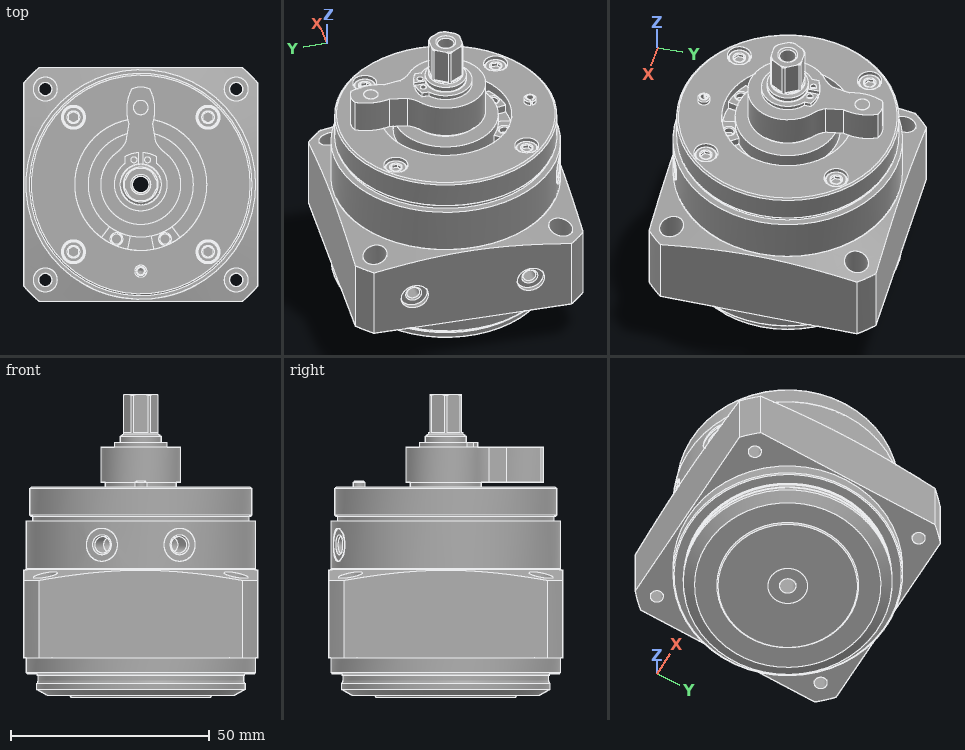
import cadquery as cq
import math

FOOT_TOP = 0.45
BEVEL_TOP = 2.05
RIM_TOP = 3.6
GROOVE_BOTTOM = 4.3
GROOVE_TOP = 5.5
LOWER_COLLAR_BOTTOM = 5.95
BLOCK_BOTTOM = 10.0
BLOCK_TOP = 32.2
BARREL_TOP = 44.5
COVER_BOTTOM = 45.6
COVER_TOP = 53.0
LEVER_BOTTOM = 54.2
LEVER_TOP = 63.0
RING_TOP = 64.25
SHAFT_SHOULDER = 65.8
HEX_BOTTOM = 66.8
SHAFT_TOP = 76.3

FOOT_D = 35.1
FOOT_TOP_D = 35.7
BEVEL_END_D = 46.9
RIM_D = 52.65
SPIGOT_D = 52.3
GROOVE_D = 51.9
BARREL_D = 57.8
COVER_NECK_D = 54.55
COVER_D = 56.0
EDGE_CHAMFER = 0.3
COVER_CHAMFER = 0.45
BLOCK_SIDE = 59.0
BLOCK_CORNER_D = 78.05
TOP_SLOPE = 15.0

MOUNT_PITCH = 48.1
MOUNT_D = 3.3
MOUNT_BORE_D = 6.0
MOUNT_BORE_FLOOR = 21.4

SCREW_PITCH = 33.9
SCREW_BORE_D = 6.0
SCREW_BORE_DEPTH = 2.3
SCREW_HEAD_D = 5.5
SCREW_HEAD_RECESS = 0.8
SCREW_CHAMFER = 0.2
SOCKET_MOUTH_D = 3.2
SOCKET_FLATS = 2.5
SOCKET_MOUTH_DEPTH = 0.2
SOCKET_DEPTH = 1.15

RECESS_D = 33.3
RECESS_FLOOR = 48.15
STOP_TOP = 50.35
STOP_ANGLE = 24.0
STOP_SPAN = 25.0
STOP_HOLE_MOUTH_D = 3.2
STOP_HOLE_D = 2.6
STOP_HOLE_DEPTH = 1.9
STOP_HOLE_RADIUS = 15.0

PIN_Y = -21.8
PIN_D = 3.05
PIN_HEIGHT = 1.45
PIN_CHAMFER = 0.4
PIN_SLOT = 0.45
PIN_BORE_D = 1.8
PIN_BORE_DEPTH = 0.8

BARREL_PORT_ANGLE = 20.0
BARREL_PORT_Z = 38.45
BARREL_PORT_FACE_D = 8.3
BARREL_PORT_FACE_RADIUS = 28.5
BARREL_PORT_MOUTH_D = 5.0
BARREL_PORT_D = 4.1
SIDE_PORT_PITCH = 30.1
SIDE_PORT_Z = 19.9
SIDE_PORT_FACE_D = 7.0
SIDE_PORT_FACE_DEPTH = 1.2
SIDE_PORT_MOUTH_D = 4.1
SIDE_PORT_D = 3.3
PORT_DEPTH = 6.9
DRILL_POINT_ANGLE = 118.0

SHAFT_D = 10.0
SHOULDER_D = 10.4
SHAFT_NECK_D = 17.9
DISC_D = 26.5
HEX_FLATS = 7.9
HEX_CORNER_D = 8.8
HEX_CHAMFER = 0.2
SHAFT_HOLE_D = 4.1
SHAFT_HOLE_MOUTH_D = 5.0
SHOULDER_CONE_HEIGHT = 0.5

HUB_D = 20.15
TIP_Y = 24.6
TIP_CORNER = (2.3, 24.0)
ARM_WIDEST = (3.5, 19.4)
WAIST = (3.0, 15.25)
ARM_ROOT = (3.75, 10.8)
ROOT_BEND = (4.6, 9.45)
HUB_BLEND_ANGLE = 54.0
LEVER_MARK_D = 3.7
LEVER_MARK_DEPTH = 0.1

RING_D = 13.3
LUG_RADIUS = 8.1
LUG_HALF_WIDTH = 4.0
LUG_GAP = 1.1
LUG_HOLE_D = 1.5
LUG_HOLE_X = 1.72
LUG_HOLE_Y = 6.22


def cylinder(diameter, bottom, top):
    return cq.Workplane("XY").workplane(offset=bottom).circle(diameter / 2).extrude(top - bottom)


def hex_prism(flats, bottom, top):
    """Hexagon with two corners on the X axis."""
    corners = flats / math.cos(math.pi / 6)
    return cq.Workplane("XY").workplane(offset=bottom).polygon(6, corners).extrude(top - bottom)


def revolve_profile(points):
    """Turn a closed outline of (radius, z) points about the Z axis."""
    return cq.Workplane("XZ").polyline(points).close().revolve(360, (0, 0, 0), (0, 1, 0))


def square_pattern(pitch):
    half = pitch / 2
    return [(x, y) for x in (-half, half) for y in (-half, half)]


def at_polar(radius, angle):
    """Point at an angle in degrees, measured from -Y toward +X."""
    turn = math.radians(angle)
    return radius * math.sin(turn), -radius * math.cos(turn)


def drill_point_height(diameter):
    return diameter / 2 / math.tan(math.radians(DRILL_POINT_ANGLE / 2))


def make_turned_body():
    return revolve_profile([
        (0, 0),
        (FOOT_D / 2, 0),
        (FOOT_TOP_D / 2, FOOT_TOP),
        (BEVEL_END_D / 2, FOOT_TOP),
        (RIM_D / 2, BEVEL_TOP),
        (RIM_D / 2, RIM_TOP),
        (SPIGOT_D / 2, RIM_TOP),
        (GROOVE_D / 2, GROOVE_BOTTOM),
        (GROOVE_D / 2, GROOVE_TOP),
        (SPIGOT_D / 2, GROOVE_TOP),
        (SPIGOT_D / 2, LOWER_COLLAR_BOTTOM),
        (BARREL_D / 2 - EDGE_CHAMFER, LOWER_COLLAR_BOTTOM),
        (BARREL_D / 2, LOWER_COLLAR_BOTTOM + EDGE_CHAMFER),
        (BARREL_D / 2, BLOCK_BOTTOM),
        (BARREL_D / 2 - EDGE_CHAMFER, BLOCK_TOP),
        (BARREL_D / 2, BLOCK_TOP + EDGE_CHAMFER),
        (BARREL_D / 2, BARREL_TOP),
        (COVER_NECK_D / 2, BARREL_TOP),
        (COVER_NECK_D / 2, COVER_BOTTOM),
        (COVER_D / 2 - EDGE_CHAMFER, COVER_BOTTOM),
        (COVER_D / 2, COVER_BOTTOM + EDGE_CHAMFER),
        (COVER_D / 2, COVER_TOP - COVER_CHAMFER),
        (COVER_D / 2 - COVER_CHAMFER, COVER_TOP),
        (0, COVER_TOP),
    ])


def make_block():
    """Square block with rounded corners and a conical top."""
    block = cq.Workplane("XY").workplane(offset=BLOCK_BOTTOM).rect(BLOCK_SIDE, BLOCK_SIDE).extrude(
        BLOCK_TOP - BLOCK_BOTTOM)
    drop = (BLOCK_CORNER_D - BARREL_D) / 2 * math.tan(math.radians(TOP_SLOPE))
    envelope = revolve_profile([
        (0, BLOCK_BOTTOM),
        (BLOCK_CORNER_D / 2, BLOCK_BOTTOM),
        (BLOCK_CORNER_D / 2, BLOCK_TOP - drop),
        (BARREL_D / 2, BLOCK_TOP),
        (0, BLOCK_TOP),
    ])
    return block.intersect(envelope)


def make_mount_holes():
    places = square_pattern(MOUNT_PITCH)
    holes = cq.Workplane("XY").workplane(offset=BLOCK_BOTTOM).pushPoints(places).circle(
        MOUNT_D / 2).extrude(BLOCK_TOP - BLOCK_BOTTOM)
    bores = cq.Workplane("XY").workplane(offset=MOUNT_BORE_FLOOR).pushPoints(places).circle(
        MOUNT_BORE_D / 2).extrude(BLOCK_TOP - MOUNT_BORE_FLOOR)
    return holes.union(bores)


def make_cover_screw_cut():
    """Space around and above one sunk screw head, with its socket."""
    head_top = COVER_TOP - SCREW_HEAD_RECESS
    head = cylinder(SCREW_HEAD_D, COVER_TOP - SCREW_BORE_DEPTH, head_top).faces(">Z").chamfer(SCREW_CHAMFER)
    mouth = revolve_profile([
        (0, head_top),
        (SOCKET_MOUTH_D / 2, head_top),
        (SOCKET_FLATS / 2, head_top - SOCKET_MOUTH_DEPTH),
        (0, head_top - SOCKET_MOUTH_DEPTH),
    ])
    socket = hex_prism(SOCKET_FLATS, head_top - SOCKET_DEPTH, head_top)
    socket = socket.rotate((0, 0, 0), (0, 0, 1), 90).union(mouth)
    bore = cylinder(SCREW_BORE_D, COVER_TOP - SCREW_BORE_DEPTH, COVER_TOP)
    return bore.cut(head.cut(socket))


def make_stop(angle):
    """Raised sector in the annular recess, with a countersunk blind hole."""
    inner = DISC_D / 2
    outer = RECESS_D / 2
    start = angle - STOP_SPAN / 2
    end = angle + STOP_SPAN / 2
    sector = (
        cq.Workplane("XY").workplane(offset=RECESS_FLOOR)
        .moveTo(*at_polar(inner, start))
        .lineTo(*at_polar(outer, start))
        .threePointArc(at_polar(outer, angle), at_polar(outer, end))
        .lineTo(*at_polar(inner, end))
        .threePointArc(at_polar(inner, angle), at_polar(inner, start))
        .close().extrude(STOP_TOP - RECESS_FLOOR)
    )
    mouth_depth = (STOP_HOLE_MOUTH_D - STOP_HOLE_D) / 2
    hole = revolve_profile([
        (0, STOP_TOP),
        (STOP_HOLE_MOUTH_D / 2, STOP_TOP),
        (STOP_HOLE_D / 2, STOP_TOP - mouth_depth),
        (STOP_HOLE_D / 2, STOP_TOP - STOP_HOLE_DEPTH),
        (0, STOP_TOP - STOP_HOLE_DEPTH),
    ])
    x, y = at_polar(STOP_HOLE_RADIUS, angle)
    return sector.cut(hole.translate((x, y, 0)))


def make_spring_pin():
    """Slotted tubular pin end standing on the cover, its slot toward -X."""
    top = COVER_TOP + PIN_HEIGHT
    pin = cylinder(PIN_D, COVER_TOP, top).faces(">Z").chamfer(PIN_CHAMFER)
    slot = cq.Workplane("XY").workplane(offset=COVER_TOP).center(-PIN_D / 2, 0).rect(
        PIN_D, PIN_SLOT).extrude(PIN_HEIGHT)
    return pin.cut(slot).translate((0, PIN_Y, 0))


def make_spring_pin_bore():
    """Drilled bore down the spring pin, ending in a drill point."""
    floor = COVER_TOP - PIN_BORE_DEPTH
    bore = revolve_profile([
        (0, floor - drill_point_height(PIN_BORE_D)),
        (PIN_BORE_D / 2, floor),
        (PIN_BORE_D / 2, COVER_TOP + PIN_HEIGHT),
        (0, COVER_TOP + PIN_HEIGHT),
    ])
    return bore.translate((0, PIN_Y, 0))


def make_port_cut(face_d, face_depth, mouth_d, hole_d):
    """Counterbored blind port along +Z, its face at z = 0 and its drill point upward."""
    mouth_depth = (mouth_d - hole_d) / 2
    return revolve_profile([
        (0, -face_depth),
        (face_d / 2, -face_depth),
        (face_d / 2, 0),
        (mouth_d / 2, 0),
        (hole_d / 2, mouth_depth),
        (hole_d / 2, PORT_DEPTH),
        (0, PORT_DEPTH + drill_point_height(hole_d)),
    ])


def make_barrel_port_cut(angle):
    face_depth = BARREL_D / 2 - BARREL_PORT_FACE_RADIUS
    port = make_port_cut(BARREL_PORT_FACE_D, face_depth, BARREL_PORT_MOUTH_D, BARREL_PORT_D)
    port = port.rotate((0, 0, 0), (1, 0, 0), -90)
    port = port.translate((0, -BARREL_PORT_FACE_RADIUS, BARREL_PORT_Z))
    return port.rotate((0, 0, 0), (0, 0, 1), angle)


def make_side_port_cut(y):
    port = make_port_cut(SIDE_PORT_FACE_D, SIDE_PORT_FACE_DEPTH, SIDE_PORT_MOUTH_D, SIDE_PORT_D)
    port = port.rotate((0, 0, 0), (0, 1, 0), 90)
    return port.translate((SIDE_PORT_FACE_DEPTH - BLOCK_SIDE / 2, y, SIDE_PORT_Z))


def make_housing():
    housing = make_turned_body().union(make_block())
    housing = housing.cut(cylinder(RECESS_D, RECESS_FLOOR, COVER_TOP))
    housing = housing.cut(cylinder(SHAFT_D, 0, RECESS_FLOOR))
    housing = housing.cut(make_mount_holes())
    for x, y in square_pattern(SCREW_PITCH):
        housing = housing.cut(make_cover_screw_cut().translate((x, y, 0)))
    for side in (-1, 1):
        housing = housing.union(make_stop(side * STOP_ANGLE))
        housing = housing.cut(make_barrel_port_cut(side * BARREL_PORT_ANGLE))
        housing = housing.cut(make_side_port_cut(side * SIDE_PORT_PITCH / 2))
    return housing.union(make_spring_pin()).cut(make_spring_pin_bore())


def make_shaft():
    """Hollow shaft with a disc in the recess, a lever spacer and a hexagonal end."""
    shaft = revolve_profile([
        (0, 0),
        (SHAFT_D / 2, 0),
        (SHAFT_D / 2, RECESS_FLOOR),
        (DISC_D / 2, RECESS_FLOOR),
        (DISC_D / 2, COVER_TOP),
        (SHAFT_NECK_D / 2, COVER_TOP),
        (SHAFT_NECK_D / 2, LEVER_BOTTOM),
        (SHAFT_D / 2, LEVER_BOTTOM),
        (SHAFT_D / 2, RING_TOP),
        (SHOULDER_D / 2, RING_TOP),
        (SHOULDER_D / 2, SHAFT_SHOULDER),
        (HEX_CORNER_D / 2, SHAFT_SHOULDER + SHOULDER_CONE_HEIGHT),
        (HEX_CORNER_D / 2, SHAFT_TOP - HEX_CHAMFER),
        (HEX_CORNER_D / 2 - HEX_CHAMFER, SHAFT_TOP),
        (0, SHAFT_TOP),
    ])
    hexagon = hex_prism(HEX_FLATS, HEX_BOTTOM, SHAFT_TOP)
    shaft = shaft.cut(cylinder(SHAFT_D, HEX_BOTTOM, SHAFT_TOP).cut(hexagon))
    mouth_depth = (SHAFT_HOLE_MOUTH_D - SHAFT_HOLE_D) / 2
    hole = revolve_profile([
        (0, 0),
        (SHAFT_HOLE_D / 2, 0),
        (SHAFT_HOLE_D / 2, SHAFT_TOP - mouth_depth),
        (SHAFT_HOLE_MOUTH_D / 2, SHAFT_TOP),
        (0, SHAFT_TOP),
    ])
    return shaft.cut(hole)


def mirrored(point):
    return -point[0], point[1]


def make_lever():
    """Hub with a waisted arm toward +Y and a shallow round mark near its tip."""
    thickness = LEVER_TOP - LEVER_BOTTOM
    blend = math.radians(HUB_BLEND_ANGLE)
    hub_blend = (HUB_D / 2 * math.cos(blend), HUB_D / 2 * math.sin(blend))
    arm = (
        cq.Workplane("XY").workplane(offset=LEVER_BOTTOM)
        .moveTo(0, 0)
        .lineTo(*hub_blend)
        .threePointArc(ROOT_BEND, ARM_ROOT)
        .lineTo(*WAIST)
        .threePointArc(ARM_WIDEST, TIP_CORNER)
        .threePointArc((0, TIP_Y), mirrored(TIP_CORNER))
        .threePointArc(mirrored(ARM_WIDEST), mirrored(WAIST))
        .lineTo(*mirrored(ARM_ROOT))
        .threePointArc(mirrored(ROOT_BEND), mirrored(hub_blend))
        .close().extrude(thickness)
    )
    lever = cylinder(HUB_D, LEVER_BOTTOM, LEVER_TOP).union(arm)
    mark = cylinder(LEVER_MARK_D, LEVER_TOP - LEVER_MARK_DEPTH, LEVER_TOP)
    lever = lever.cut(mark.translate((0, ARM_WIDEST[1], 0)))
    return lever.cut(cylinder(SHAFT_D, LEVER_BOTTOM, LEVER_TOP))


def make_retaining_ring():
    """Open ring on top of the lever with two eyed lugs toward +Y."""
    thickness = RING_TOP - LEVER_TOP
    plane = cq.Workplane("XY").workplane(offset=LEVER_TOP)
    lugs = plane.center(0, LUG_RADIUS / 2).rect(2 * LUG_HALF_WIDTH, LUG_RADIUS).extrude(thickness)
    lugs = lugs.intersect(cylinder(2 * LUG_RADIUS, LEVER_TOP, RING_TOP))
    ring = cylinder(RING_D, LEVER_TOP, RING_TOP).union(lugs)
    ring = ring.cut(cylinder(SHAFT_D, LEVER_TOP, RING_TOP))
    ring = ring.cut(plane.center(0, LUG_RADIUS / 2).rect(LUG_GAP, LUG_RADIUS).extrude(thickness))
    eyes = [(-LUG_HOLE_X, LUG_HOLE_Y), (LUG_HOLE_X, LUG_HOLE_Y)]
    return ring.cut(plane.pushPoints(eyes).circle(LUG_HOLE_D / 2).extrude(thickness))


housing = make_housing()
shaft = make_shaft()
lever = make_lever()
retaining_ring = make_retaining_ring()

bodies = [housing, shaft, lever, retaining_ring]
result = cq.Compound.makeCompound([body.solids().val() for body in bodies])